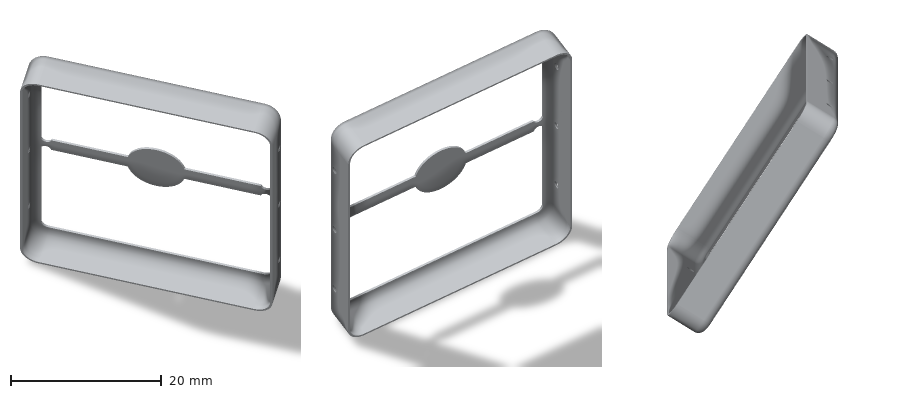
import cadquery as cq

width = 34.6
depth = 5.3
height = 40.2
wall = 0.3
corner_radius = 2.5
back_fillet = 1.13
flange_width = 1.5

bar_height = 2.15
disc_diameter = 8.05
neck_height = 0.95
notch_radius = 0.72

hole_diameter = 1.0
hole_spacing = 12.5
hole_from_back = 1.75

back_y = depth / 2
floor_y = back_y - wall
opening_width = width - 2 * flange_width
opening_height = height - 2 * flange_width


def prism(profile, front, back):
    """Extrude an XZ profile along Y from front to back."""
    return profile.extrude(-(back - front)).translate((0, front, 0))


def rounded_block(inset, front, back):
    """Rounded rectangular block, inset from the outer outline."""
    profile = cq.Workplane("XZ").rect(width - 2 * inset, height - 2 * inset)
    return prism(profile, front, back).edges("|Y").fillet(corner_radius - inset)


def make_frame():
    outer = rounded_block(0, -back_y, back_y).faces(">Y").edges().fillet(back_fillet)
    cavity = rounded_block(wall, -back_y, floor_y)
    cavity = cavity.faces(">Y").edges().fillet(back_fillet - wall)
    opening = rounded_block(flange_width, floor_y - wall, back_y + wall)
    return outer.cut(cavity).cut(opening)


def make_crossbar():
    bar_length = opening_width + flange_width - back_fillet
    bar = prism(cq.Workplane("XZ").rect(bar_length, bar_height), floor_y, back_y)
    disc = prism(cq.Workplane("XZ").circle(disc_diameter / 2), floor_y, back_y)
    notch_x = opening_width / 2 - notch_radius
    notch_z = neck_height / 2 + notch_radius
    centers = [(sx * notch_x, sz * notch_z) for sx in (-1, 1) for sz in (-1, 1)]
    notches = prism(cq.Workplane("XZ").pushPoints(centers).circle(notch_radius), floor_y, back_y)
    return bar.union(disc).cut(notches)


def make_side_holes():
    hole_y = back_y - hole_from_back
    centers = [(hole_y, step * hole_spacing) for step in (-1, 0, 1)]
    holes = cq.Workplane("YZ").pushPoints(centers).circle(hole_diameter / 2)
    return holes.extrude(width, both=True)


result = make_frame().union(make_crossbar()).cut(make_side_holes())